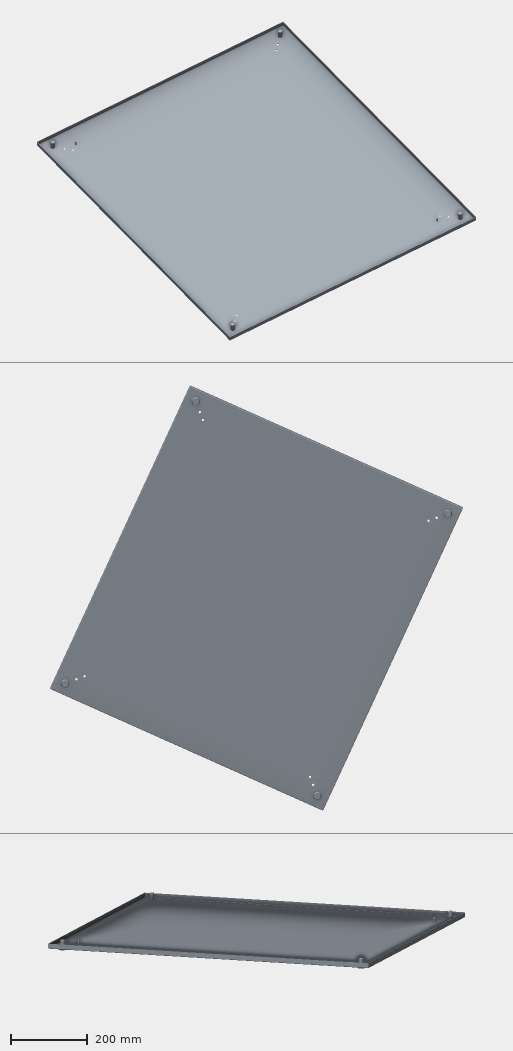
import cadquery as cq

TRAY_LENGTH = 881.0
TRAY_WIDTH = 781.0
TRAY_HEIGHT = 13.0
TRAY_BASE_Z = 6.0
SHEET = 1.0
INNER_BEND_RADIUS = 1.0
OUTER_BEND_RADIUS = INNER_BEND_RADIUS + SHEET

HOLE_DIAMETER = 6.0
OUTER_HOLE_INSET = 52.0
INNER_HOLE_INSET = 68.0

PIN_DIAMETER = 4.0
PIN_TOP_Z = 18.0
PIN_X_INSET = 55.5
PIN_Y_INSET = 85.0

STUD_INSET = 30.0
STUD_HEIGHT = 26.0
SHANK_DIAMETER = 11.5
SHANK_CHAMFER = 1.0
HEAD_BOTTOM_DIAMETER = 18.0
HEAD_TOP_DIAMETER = 21.0
HEAD_HEIGHT = TRAY_BASE_Z

CORNERS = [(-1, -1), (1, -1), (1, 1), (-1, 1)]
PIN_CORNERS = [(-1, -1), (1, 1)]


def corner_point(corner, x_inset, y_inset):
    """Point set in from the given tray corner."""
    x_sign, y_sign = corner
    return (x_sign * (TRAY_LENGTH / 2 - x_inset), y_sign * (TRAY_WIDTH / 2 - y_inset))


def rounded_block(length, width, height, base_z, radius):
    """Block standing on base_z with its bottom edges rounded."""
    plane = cq.Workplane("XY").workplane(offset=base_z)
    block = plane.box(length, width, height, centered=(True, True, False))
    return block.faces("<Z").edges().fillet(radius)


def make_columns(points, diameter, bottom_z, top_z):
    """Upright cylinders at the given points."""
    plane = cq.Workplane("XY").workplane(offset=bottom_z)
    return plane.pushPoints(points).circle(diameter / 2).extrude(top_z - bottom_z)


def make_tray(stud_points):
    """Shallow open-topped sheet tray with floor holes and two fixed pins."""
    outside = rounded_block(TRAY_LENGTH, TRAY_WIDTH, TRAY_HEIGHT, TRAY_BASE_Z, OUTER_BEND_RADIUS)
    floor_z = TRAY_BASE_Z + SHEET
    cavity = rounded_block(
        TRAY_LENGTH - 2 * SHEET, TRAY_WIDTH - 2 * SHEET, TRAY_HEIGHT, floor_z, INNER_BEND_RADIUS
    )

    hole_points = []
    for corner in CORNERS:
        for inset in (OUTER_HOLE_INSET, INNER_HOLE_INSET):
            hole_points.append(corner_point(corner, inset, inset))
    stud_holes = make_columns(stud_points, SHANK_DIAMETER, TRAY_BASE_Z, floor_z)
    small_holes = make_columns(hole_points, HOLE_DIAMETER, TRAY_BASE_Z, floor_z)

    pin_points = [corner_point(corner, PIN_X_INSET, PIN_Y_INSET) for corner in PIN_CORNERS]
    pins = make_columns(pin_points, PIN_DIAMETER, TRAY_BASE_Z, PIN_TOP_Z)
    return outside.cut(cavity).cut(stud_holes).cut(small_holes).union(pins)


def make_stud(center):
    """Stud whose shank passes up through the tray floor from a head that widens upwards."""
    base = cq.Workplane("XY").center(*center)
    head = (
        base.circle(HEAD_BOTTOM_DIAMETER / 2)
        .workplane(offset=HEAD_HEIGHT)
        .circle(HEAD_TOP_DIAMETER / 2)
        .loft()
    )
    shank = base.circle(SHANK_DIAMETER / 2).extrude(STUD_HEIGHT)
    shank = shank.faces(">Z").chamfer(SHANK_CHAMFER)
    return head.union(shank)


stud_centers = [corner_point(corner, STUD_INSET, STUD_INSET) for corner in CORNERS]
tray = make_tray(stud_centers)
studs = [make_stud(center) for center in stud_centers]

result = cq.Compound.makeCompound([tray.solids().val(), *[stud.solids().val() for stud in studs]])